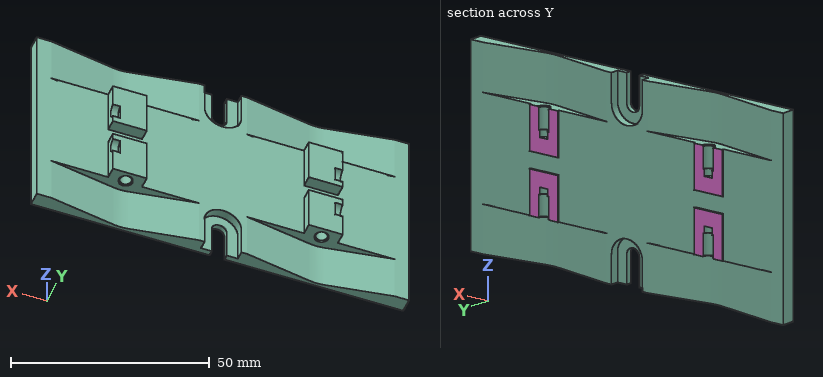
import cadquery as cq

plate_length = 101.0
plate_height = 55.8
plate_thickness = 4.0
overall_depth = 7.3

slot_width = 4.0
slot_depth = 10.0
head_recess_width = 10.0
slot_wall = 1.6
slot_round_z = plate_height / 2 - slot_depth + slot_width / 2

boss_spacing = 53.1
boss_width = 9.2
boss_length = 12.4
boss_gap = 4.5
boss_x = boss_spacing / 2
boss_inner_z = boss_gap / 2
boss_outer_z = boss_inner_z + boss_length

bore_diameter = 3.0
bore_mouth_diameter = 3.6
pilot_diameter = 2.4
bore_chamfer = (bore_mouth_diameter - bore_diameter) / 2
bore_y = 4.4
bore_depth = boss_length / 2
pilot_depth = 8.1

notch_radius = 2.1
notch_y = 7.8
notch_z = 6.2
notch_depth = 2.0

vee_half_width = 20.0
vee_depth = 3.2
vee_root_radius = 12.1


def box(x_range, y_range, z_range):
    """Box between the given limits along each axis."""
    (x0, x1), (y0, y1), (z0, z1) = x_range, y_range, z_range
    return cq.Workplane("XY").box(x1 - x0, y1 - y0, z1 - z0, centered=False).translate((x0, y0, z0))


def edge_slot(width, y_start, y_end):
    """Round-ended slot, open at the top edge of the plate."""
    depth = y_end - y_start
    round_end = (
        cq.Workplane("XZ", origin=(0, y_start, 0))
        .center(0, slot_round_z)
        .circle(width / 2)
        .extrude(-depth)
    )
    straight = box((-width / 2, width / 2), (y_start, y_end), (slot_round_z, plate_height / 2))
    return round_end.union(straight)


def boss():
    """Upper right boss, rooted in the plate."""
    return box(
        (boss_x - boss_width / 2, boss_x + boss_width / 2),
        (plate_thickness / 2, overall_depth),
        (boss_inner_z, boss_outer_z),
    )


def bore():
    """Stepped blind bore with a chamfered mouth at the outer end of the upper right boss."""
    mouth = cq.Workplane("XY", origin=(boss_x, bore_y, boss_outer_z))
    hole = mouth.circle(bore_diameter / 2).extrude(-bore_depth)
    pilot = mouth.circle(pilot_diameter / 2).extrude(-pilot_depth)
    chamfer = (
        mouth.circle(bore_mouth_diameter / 2)
        .workplane(offset=-bore_chamfer)
        .circle(bore_diameter / 2)
        .loft()
    )
    return hole.union(pilot).union(chamfer)


def notch():
    """Half-round blind notch in the +X side of the upper right boss."""
    return (
        cq.Workplane("YZ", origin=(boss_x + boss_width / 2, 0, 0))
        .center(notch_y, notch_z)
        .circle(notch_radius)
        .extrude(-notch_depth)
    )


def vee_recess():
    """V-shaped recess with a rounded root, beyond the outer end of the upper right boss."""
    root_y = plate_thickness - vee_depth
    wedge = (
        cq.Workplane("XY", origin=(0, 0, boss_outer_z))
        .moveTo(boss_x - vee_half_width, plate_thickness)
        .lineTo(boss_x, root_y)
        .lineTo(boss_x + vee_half_width, plate_thickness)
        .close()
        .extrude(plate_height / 2 - boss_outer_z)
    )
    return wedge.edges("|Z and <Y").fillet(vee_root_radius)


def on_both_ends(shape):
    """The shape and its mirror image below the middle of the plate."""
    return shape.union(shape.mirror("XY"))


def on_four_corners(shape):
    """The shape repeated left and right, above and below."""
    return on_both_ends(shape.union(shape.mirror("YZ")))


plate = box(
    (-plate_length / 2, plate_length / 2),
    (0, plate_thickness),
    (-plate_height / 2, plate_height / 2),
)
result = (
    plate.union(on_four_corners(boss()))
    .cut(on_four_corners(vee_recess()))
    .cut(on_four_corners(bore()))
    .cut(on_four_corners(notch()))
    .cut(on_both_ends(edge_slot(slot_width, 0, slot_wall)))
    .cut(on_both_ends(edge_slot(head_recess_width, slot_wall, plate_thickness)))
)